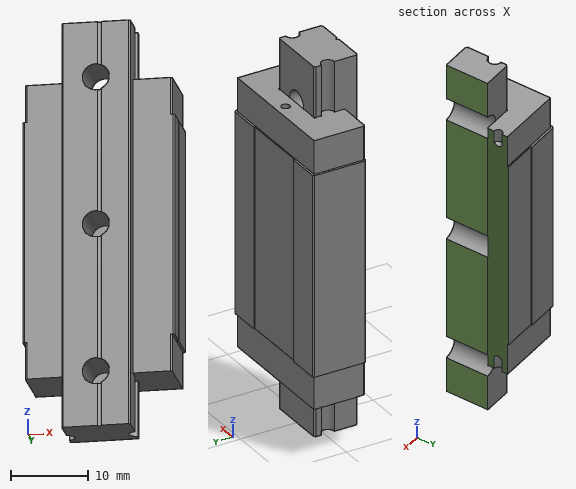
import cadquery as cq
import math

rail_length = 55.0
total_depth = 10.0
edge_chamfer = 0.2
mark_radius = 0.3

rail_width = 9.0
rail_height = 6.55
raceway_radius = 1.0
raceway_drop = 2.05
rail_mark_offset = 0.5
bolt_diameter = 3.5
bolt_spacing = 20.0
bolt_count = 3

block_width = 20.0
block_length = 30.0
carriage_length = 40.0
carriage_lift = 2.0
cap_inset = 0.35
pad_width = 5.0
pad_height = 0.15
block_mark_drop = 5.0
oil_diameter = 1.2
oil_depth = 2.0
oil_tip_angle = 118.0
oil_drop = 1.8

rail_bottom = -total_depth / 2
rail_top = rail_bottom + rail_height
carriage_bottom = rail_bottom + carriage_lift
carriage_top = total_depth / 2


def bar(width, bottom, top, length):
    """Rectangular bar along Z, centred on X = Z = 0, spanning bottom to top in Y."""
    return cq.Workplane("XY").box(width, top - bottom, length).translate((0, (bottom + top) / 2, 0))


def rods(points, radius, length):
    """Round rods along Z, centred on Z = 0, for cutting lengthwise grooves."""
    return cq.Workplane("XY").pushPoints(points).circle(radius).extrude(length / 2, both=True)


def raceways():
    """Half-round ball tracks, one along each side of the rail."""
    centres = [(side * rail_width / 2, rail_top - raceway_drop) for side in (-1, 1)]
    return rods(centres, raceway_radius, rail_length)


def bolt_holes():
    """Row of through holes along the rail centre line."""
    return (
        cq.Workplane("XZ", origin=(0, rail_top, 0))
        .rarray(0.55, bolt_spacing, 1, bolt_count)
        .circle(bolt_diameter / 2)
        .extrude(rail_height)
    )


def make_rail():
    """Chamfered rail with raceways, underside reference groove and bolt holes."""
    body = bar(rail_width, rail_bottom, rail_top, rail_length).edges("|Z").chamfer(edge_chamfer)
    mark = rods([(rail_mark_offset, rail_bottom)], mark_radius, rail_length)
    return body.cut(raceways()).cut(mark).cut(bolt_holes())


def carriage_block():
    """Middle of the carriage, with two raised pads and a reference groove on its +X side."""
    block = bar(block_width, carriage_bottom, carriage_top, block_length)
    block = block.edges("|Z").chamfer(edge_chamfer)
    relief = bar(block_width - 2 * pad_width, carriage_top - pad_height, carriage_top, block_length)
    mark = rods([(block_width / 2, carriage_top - block_mark_drop)], mark_radius, block_length)
    return block.cut(relief).cut(mark)


def carriage_caps():
    """Slimmer bar through the block whose two ends form the end caps."""
    caps = bar(block_width - 2 * cap_inset, carriage_bottom, carriage_top - cap_inset, carriage_length)
    return caps.faces("<Y").edges("|Z").chamfer(edge_chamfer)


def rail_channel():
    """Channel for the rail: square inner corners, with ridges left to fill the raceways."""
    return bar(rail_width, carriage_bottom, rail_top, carriage_length).cut(raceways())


def oil_holes():
    """Blind drilled holes with conical bottoms, one in each end face."""
    radius = oil_diameter / 2
    tip_depth = oil_depth + radius / math.tan(math.radians(oil_tip_angle / 2))
    hole = (
        cq.Workplane("XZ")
        .polyline([(0, 0), (radius, 0), (radius, -oil_depth), (0, -tip_depth)])
        .close()
        .revolve(360, (0, 0, 0), (0, 1, 0))
        .translate((0, carriage_top - oil_drop, carriage_length / 2))
    )
    return [hole, hole.mirror("XY")]


def make_carriage():
    """Block and end caps in one piece, cut to ride on the rail."""
    carriage = carriage_block().union(carriage_caps()).cut(rail_channel())
    for hole in oil_holes():
        carriage = carriage.cut(hole)
    return carriage


rail = make_rail()
carriage = make_carriage()
result = cq.Compound.makeCompound([rail.solids().val(), carriage.solids().val()])